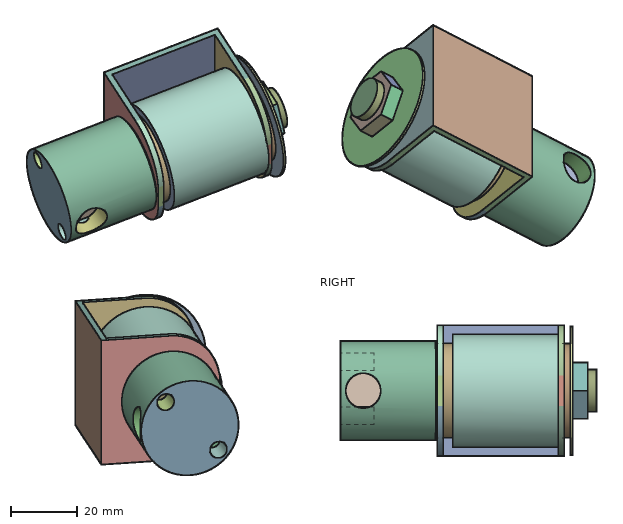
import cadquery as cq
import math


handle_length = 28.67
neck_length = 0.46
bracket_length = 38.33
wall = 1.88
front_collar_length = 2.75
rear_collar_length = 1.82
washer_thickness = 0.75
nut_thickness = 4.48
overall_length = 77.13

bracket_front = handle_length + neck_length
bracket_rear = bracket_front + bracket_length
drum_start = bracket_front + wall + front_collar_length
drum_end = bracket_rear - wall
washer_start = bracket_rear + rear_collar_length
nut_start = washer_start + washer_thickness
nut_end = nut_start + nut_thickness

handle_radius = 15.0
neck_radius = 12.75
collar_radius = 14.25
drum_radius = 17.0
washer_radius = 19.4
stud_radius = 6.4
nut_across_flats = 17.0

cross_hole_diameter = 10.5
cross_hole_from_end = 6.87
cross_hole_depth = 6.0
face_hole_diameter = 5.2
face_hole_depth = 10.0
face_hole_spacing = 23.0
face_hole_shift = 0.65

overall_width = 40.57
bracket_height = 39.47
bracket_left = washer_radius - overall_width
bracket_right = 15.3
bracket_corner_radius = 15.1


def disc(radius, start, end):
    """Cylinder on the Y axis between two stations."""
    return cq.Workplane("XZ", origin=(0, start, 0)).circle(radius).extrude(start - end)


def make_bracket():
    """Back plate with two rounded arms, each bored for a collar of the lock."""
    width = bracket_right - bracket_left
    block = (
        cq.Workplane("XY")
        .box(width, bracket_length, bracket_height, centered=(False, False, True))
        .translate((bracket_left, bracket_front, 0))
        .edges("|Y and >X")
        .fillet(bracket_corner_radius)
    )
    opening = (
        cq.Workplane("XY")
        .box(width, bracket_length - 2 * wall, bracket_height, centered=(False, False, True))
        .translate((bracket_left + wall, bracket_front + wall, 0))
    )
    bore = disc(collar_radius, bracket_front, bracket_rear)
    return block.cut(opening).cut(bore)


def make_nut():
    """Hexagon nut with corners on the X axis and flats facing up and down."""
    across_corners = nut_across_flats / math.cos(math.pi / 6)
    return (
        cq.Workplane("XZ", origin=(0, nut_start, 0))
        .polygon(6, across_corners)
        .extrude(-nut_thickness)
    )


def cut_cross_holes(lock):
    """Blind holes bored into both sides of the handle along X."""
    for side in (-1, 1):
        hole = (
            cq.Workplane("YZ", origin=(side * handle_radius, cross_hole_from_end, 0))
            .circle(cross_hole_diameter / 2)
            .extrude(-side * cross_hole_depth)
        )
        lock = lock.cut(hole)
    return lock


def cut_face_holes(lock):
    """Two blind holes in the end face, on a diagonal set slightly off the axis."""
    reach = face_hole_spacing / 2 * math.cos(math.pi / 4)
    centers = [
        (face_hole_shift - reach, face_hole_shift + reach),
        (face_hole_shift + reach, face_hole_shift - reach),
    ]
    holes = (
        cq.Workplane("XZ")
        .pushPoints(centers)
        .circle(face_hole_diameter / 2)
        .extrude(-face_hole_depth)
    )
    return lock.cut(holes)


def make_lock():
    """Handle, neck, collars, drum, washer, nut and stud on one axis."""
    lock = (
        disc(handle_radius, 0, handle_length)
        .union(disc(neck_radius, handle_length, bracket_front))
        .union(disc(collar_radius, bracket_front, drum_start))
        .union(disc(drum_radius, drum_start, drum_end))
        .union(disc(collar_radius, drum_end, washer_start))
        .union(disc(washer_radius, washer_start, nut_start))
        .union(make_nut())
        .union(disc(stud_radius, nut_end, overall_length))
    )
    return cut_face_holes(cut_cross_holes(lock))


bracket = make_bracket()
lock = make_lock()

result = cq.Compound.makeCompound([bracket.val(), lock.val()])